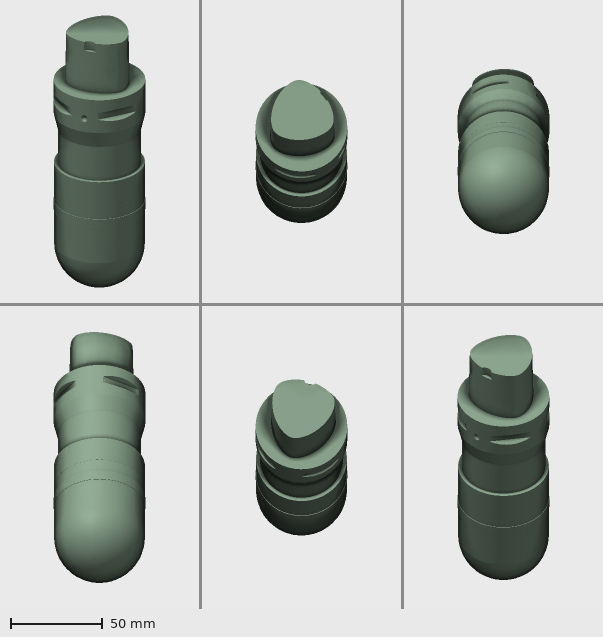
import cadquery as cq
import math

TOTAL_LENGTH = 155
SHANK_BASE_Z = 125.1
FLANGE_BASE_Z = 105.0
NECK_TOP_Z = 95.3
SLEEVE_TOP_Z = 74.5
SLEEVE_STEP_Z = 59.4
RING_TOP_Z = 51.8
NOSE_TOP_Z = 47.6
COLLAR_BASE_Z = 45.7

FLANGE_DIAMETER = 50.0
NECK_DIAMETER = 45.5
SLEEVE_UPPER_DIAMETER = 49.6
SLEEVE_LOWER_DIAMETER = 49.5
RING_DIAMETER = FLANGE_DIAMETER
COLLAR_DIAMETER = FLANGE_DIAMETER
NOSE_DIAMETER = 49.6

SHANK_BASE_RADIUS = 17.7
SHANK_TOP_RADIUS = 17
LOBE_HEIGHT = 1.4
LOBE_COUNT = 3
OUTLINE_SAMPLES = 36

NOTCH_RADIUS = 4.0
NOTCH_FLOOR_Y = -13.8
NOTCH_HEIGHT = 5.3

SLOT_COUNT = 4
SLOT_START_ANGLE = 45
SLOT_Z = 115.2
SLOT_FLOOR_HEIGHT = 4.0
SLOT_MOUTH_HEIGHT = 6.8
SLOT_FLOOR_LENGTH = 23.0

DIMPLE_DIAMETER = 4.0
DIMPLE_Z = 113.2
DIMPLE_DEPTH = DIMPLE_DIAMETER / 2


def cylinder(diameter, bottom_z, top_z):
    return cq.Workplane("XY", origin=(0, 0, bottom_z)).circle(diameter / 2).extrude(top_z - bottom_z)


def lobed_point(mean_radius, angle):
    """Point on a constant-width outline whose tangent distance varies with the angle."""
    lobe_phase = LOBE_COUNT * (angle - math.pi / 2)
    distance = mean_radius + LOBE_HEIGHT * math.cos(lobe_phase)
    slope = -LOBE_COUNT * LOBE_HEIGHT * math.sin(lobe_phase)
    x = distance * math.cos(angle) - slope * math.sin(angle)
    y = distance * math.sin(angle) + slope * math.cos(angle)
    return x, y


def lobed_outline(mean_radius, z):
    points = []
    for i in range(OUTLINE_SAMPLES):
        x, y = lobed_point(mean_radius, 2 * math.pi * i / OUTLINE_SAMPLES)
        points.append(cq.Vector(x, y, z))
    return cq.Wire.assembleEdges([cq.Edge.makeSpline(points, periodic=True)])


def make_shank():
    base = lobed_outline(SHANK_BASE_RADIUS, SHANK_BASE_Z)
    top = lobed_outline(SHANK_TOP_RADIUS, TOTAL_LENGTH)
    shank = cq.Workplane(cq.Solid.makeLoft([base, top], True))
    notch = cylinder(2 * NOTCH_RADIUS, TOTAL_LENGTH - NOTCH_HEIGHT, TOTAL_LENGTH)
    return shank.cut(notch.translate((0, NOTCH_FLOOR_Y - NOTCH_RADIUS, 0)))


def make_gripper_slot():
    """Cutter for the slot facing +X: flat floor, flared upper and lower walls."""
    flange_radius = FLANGE_DIAMETER / 2
    floor_distance = math.sqrt(flange_radius**2 - (SLOT_FLOOR_LENGTH / 2) ** 2)
    depth = flange_radius - floor_distance
    flare = (SLOT_MOUTH_HEIGHT - SLOT_FLOOR_HEIGHT) / 2
    outer_distance = flange_radius + depth
    outer_half_height = SLOT_MOUTH_HEIGHT / 2 + flare
    floor_half_height = SLOT_FLOOR_HEIGHT / 2
    return (
        cq.Workplane("XZ")
        .moveTo(floor_distance, SLOT_Z - floor_half_height)
        .lineTo(outer_distance, SLOT_Z - outer_half_height)
        .lineTo(outer_distance, SLOT_Z + outer_half_height)
        .lineTo(floor_distance, SLOT_Z + floor_half_height)
        .close()
        .extrude(flange_radius, both=True)
    )


def make_dimple():
    flange_radius = FLANGE_DIAMETER / 2
    cone = cq.Solid.makeCone(
        DIMPLE_DIAMETER / 2,
        0,
        DIMPLE_DEPTH,
        pnt=cq.Vector(0, -flange_radius, DIMPLE_Z),
        dir=cq.Vector(0, 1, 0),
    )
    return cq.Workplane(cone)


def make_holder():
    """Shank, flange, tapered shoulder and neck, turned from one piece."""
    flange_radius = FLANGE_DIAMETER / 2
    neck_radius = NECK_DIAMETER / 2
    holder = (
        cq.Workplane("XZ")
        .moveTo(0, SLEEVE_TOP_Z)
        .lineTo(neck_radius, SLEEVE_TOP_Z)
        .lineTo(neck_radius, NECK_TOP_Z)
        .lineTo(flange_radius, FLANGE_BASE_Z)
        .lineTo(flange_radius, SHANK_BASE_Z)
        .lineTo(0, SHANK_BASE_Z)
        .close()
        .revolve(360, (0, 0, 0), (0, 1, 0))
    )
    slot = make_gripper_slot()
    for i in range(SLOT_COUNT):
        angle = SLOT_START_ANGLE + i * 360 / SLOT_COUNT
        holder = holder.cut(slot.rotate((0, 0, 0), (0, 0, 1), angle))
    return holder.cut(make_dimple()).union(make_shank()).solids()


def make_sleeve():
    upper = cylinder(SLEEVE_UPPER_DIAMETER, SLEEVE_STEP_Z, SLEEVE_TOP_Z)
    lower = cylinder(SLEEVE_LOWER_DIAMETER, RING_TOP_Z, SLEEVE_STEP_Z)
    return upper.union(lower).solids()


def make_ring():
    return cylinder(RING_DIAMETER, NOSE_TOP_Z, RING_TOP_Z)


def make_nose():
    """Ball-ended nose with a narrow collar at its top."""
    radius = NOSE_DIAMETER / 2
    collar_radius = COLLAR_DIAMETER / 2
    arc_middle = (radius * math.sin(math.pi / 4), radius * (1 - math.cos(math.pi / 4)))
    return (
        cq.Workplane("XZ")
        .moveTo(0, 0)
        .threePointArc(arc_middle, (radius, radius))
        .lineTo(radius, COLLAR_BASE_Z)
        .lineTo(collar_radius, COLLAR_BASE_Z)
        .lineTo(collar_radius, NOSE_TOP_Z)
        .lineTo(0, NOSE_TOP_Z)
        .close()
        .revolve(360, (0, 0, 0), (0, 1, 0))
    )


holder = make_holder()
sleeve = make_sleeve()
ring = make_ring()
nose = make_nose()

result = cq.Compound.makeCompound([holder.val(), sleeve.val(), ring.val(), nose.val()])